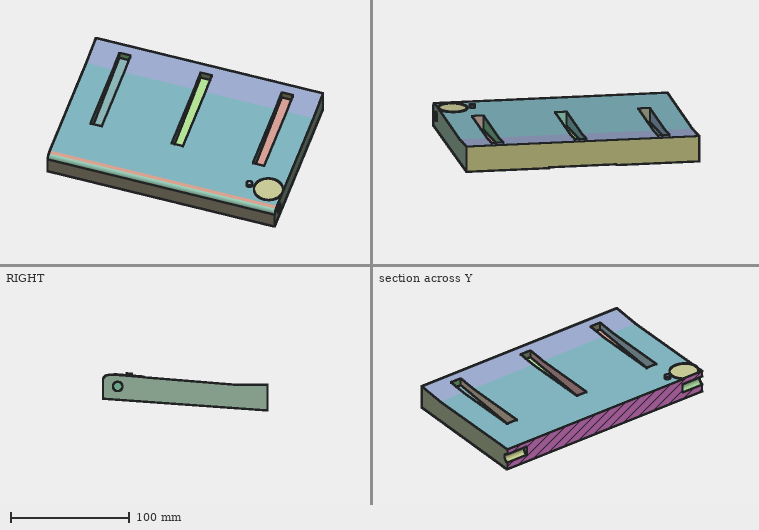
import cadquery as cq
import math

width = 200.84
depth = 139.17
back_height = 22.0
bottom_angle = 4.08
top_angle = 4.65
back_land = 28.2

nose_start = 6.5
nose_flat_end = 3.6
nose_flat_angle = 10.0
nose_end_angle = 66.0
nose_radius = 4.2
nose_middle_angle = (nose_flat_angle + nose_end_angle) / 2

slot_count = 3
slot_pitch = 71.75
slot_width = 10.0
slot_length = 83.0
slot_back_margin = 9.4
slot_depth = 7.0
slot_floor = back_height - slot_depth

pivot_diameter = 8.0
pivot_depth = 20.0
pivot_from_front = 12.5
pivot_height = 20.4

pad_embed = 1.0
badge_diameter = 24.6
badge_height = 0.6
badge_x = (width - badge_diameter) / 2
pad_from_front = 22.2
dot_diameter = 4.8
dot_height = 2.15
dot_x = 71.3

relief_width = 58.0
relief_height = 0.7


def tangent(degrees):
    return math.tan(math.radians(degrees))


def top_z(y):
    """Height of the sloped top at a distance y from the front."""
    return back_height + (depth - back_land - y) * tangent(top_angle)


def nose_arc_point(center_y, center_z, fall_angle):
    """Point on the nose arc where the surface falls at the given angle."""
    angle = math.radians(fall_angle)
    return (center_y - nose_radius * math.sin(angle), center_z + nose_radius * math.cos(angle))


def make_body():
    """Wedge profile with the rounded nose, extruded across the width."""
    flat_end_z = top_z(nose_start) - (nose_start - nose_flat_end) * tangent(nose_flat_angle)
    center_y = nose_flat_end + nose_radius * math.sin(math.radians(nose_flat_angle))
    center_z = flat_end_z - nose_radius * math.cos(math.radians(nose_flat_angle))
    arc_middle = nose_arc_point(center_y, center_z, nose_middle_angle)
    arc_end = nose_arc_point(center_y, center_z, nose_end_angle)
    front_top_z = arc_end[1] - arc_end[0] * tangent(nose_end_angle)
    return (
        cq.Workplane("YZ")
        .moveTo(depth, 0)
        .lineTo(depth, back_height)
        .lineTo(depth - back_land, back_height)
        .lineTo(nose_start, top_z(nose_start))
        .lineTo(nose_flat_end, flat_end_z)
        .threePointArc(arc_middle, arc_end)
        .lineTo(0, front_top_z)
        .lineTo(0, depth * tangent(bottom_angle))
        .close()
        .extrude(width / 2, both=True)
    )


def make_slots():
    """Straight-walled slots with a level floor."""
    cut_height = top_z(0) - slot_floor
    return (
        cq.Workplane("XY", origin=(0, depth - slot_back_margin - slot_length / 2, slot_floor))
        .rarray(slot_pitch, 1, slot_count, 1)
        .rect(slot_width, slot_length)
        .extrude(cut_height)
    )


def make_pivot_hole(side):
    """Blind hole going inward from the left (-1) or right (+1) end."""
    return (
        cq.Workplane("YZ", origin=(side * width / 2, pivot_from_front, pivot_height))
        .circle(pivot_diameter / 2)
        .extrude(-side * pivot_depth)
    )


def make_pad(x, diameter, height):
    """Round pad square to the sloped top."""
    slope = math.radians(top_angle)
    top_plane = cq.Plane(
        origin=(x, pad_from_front, top_z(pad_from_front)),
        xDir=(1, 0, 0),
        normal=(0, math.sin(slope), math.cos(slope)),
    )
    return (
        cq.Workplane(top_plane)
        .workplane(offset=-pad_embed)
        .circle(diameter / 2)
        .extrude(pad_embed + height)
    )


def make_relief():
    """Level cut running forward until it meets the rising underside."""
    relief_length = relief_height / tangent(bottom_angle)
    return cq.Workplane("XY").box(
        relief_width, relief_length, relief_height, centered=(True, False, False)
    ).translate((0, depth - relief_length, 0))


result = make_body().cut(make_slots()).cut(make_relief())
for end in (-1, 1):
    result = result.cut(make_pivot_hole(end))
result = result.union(make_pad(badge_x, badge_diameter, badge_height))
result = result.union(make_pad(dot_x, dot_diameter, dot_height))